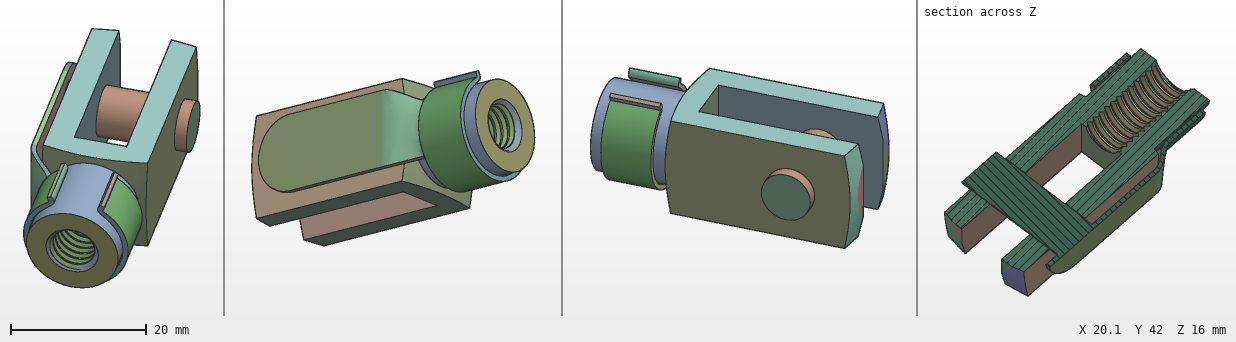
import cadquery as cq
import math

LENGTH = 42.0
BLOCK = 16.0
BLOCK_START = 11.95
SLOT_WIDTH = BLOCK / 2
SLOT_START = 16.0
NECK_RADIUS = 7.0
END_FLAT_RADIUS = 6.0
BEVEL_SLOPE = math.tan(math.radians(15))
TURNING_RADIUS = 12.6

MINOR_RADIUS = 3.25
MOUTH_RADIUS = 4.0
THREAD_DEPTH = 0.5
PITCH = 1.25
GROOVE_HALF_WIDTH = 0.55
GROOVE_OVERLAP = 0.1

PIN_RADIUS = 3.85
PIN_Y = 32.0
PIN_END = 9.85
SHEET = 0.8
PLATE_OUTER_X = -10.25
PLATE_HALF_WIDTH = 5.95
PLATE_START = 15.12
PLATE_ROUND_Y = 32.45
RING_START = 2.0
RING_END = 9.95
RING_RADIUS = BLOCK / 2
RING_INNER_RADIUS = RING_RADIUS - SHEET
STRIP_HALF_WIDTH = 4.4
BEND_STATIONS = 8
BEND_DELAY = 1.3


def turned_envelope():
    """Solid of revolution that bevels both ends of the square fork."""
    bevel_start = BLOCK_START + BEVEL_SLOPE * (TURNING_RADIUS - NECK_RADIUS)
    bevel_end = LENGTH - BEVEL_SLOPE * (TURNING_RADIUS - END_FLAT_RADIUS)
    return (
        cq.Workplane("XY")
        .moveTo(0, BLOCK_START)
        .lineTo(NECK_RADIUS, BLOCK_START)
        .lineTo(TURNING_RADIUS, bevel_start)
        .lineTo(TURNING_RADIUS, bevel_end)
        .lineTo(END_FLAT_RADIUS, LENGTH)
        .lineTo(0, LENGTH)
        .close()
        .revolve(360, (0, 0, 0), (0, 1, 0))
    )


def y_cylinder(radius, start, end):
    return cq.Workplane("XZ", origin=(0, start, 0)).circle(radius).extrude(start - end)


def thread_groove():
    """Helical V groove that runs out past both ends of the bore."""
    start = -PITCH
    height = SLOT_START + 2 * PITCH
    path = cq.Wire.makeHelix(PITCH, height, MINOR_RADIUS)
    inner = MINOR_RADIUS - GROOVE_OVERLAP
    groove = (
        cq.Workplane("XZ")
        .moveTo(inner, -GROOVE_HALF_WIDTH)
        .lineTo(MINOR_RADIUS + THREAD_DEPTH, 0)
        .lineTo(inner, GROOVE_HALF_WIDTH)
        .close()
        .sweep(cq.Workplane(path), isFrenet=True)
    )
    return groove.rotate((0, 0, 0), (1, 0, 0), -90).translate((0, start, 0))


def threaded_bore():
    """Bore and thread groove as one tool, with the bore flush at the neck face and the slot floor."""
    run_out = 2 * PITCH
    bore = y_cylinder(MINOR_RADIUS, -run_out, SLOT_START + run_out)
    extent = y_cylinder(NECK_RADIUS, 0, SLOT_START)
    return bore.union(thread_groove()).intersect(extent)


def mouth_chamfer():
    return (
        cq.Workplane("XY")
        .lineTo(MOUTH_RADIUS, 0)
        .lineTo(0, MOUTH_RADIUS)
        .close()
        .revolve(360, (0, 0, 0), (0, 1, 0))
    )


def make_fork():
    block_length = LENGTH - BLOCK_START
    block = cq.Workplane("XY").box(BLOCK, block_length, BLOCK)
    block = block.translate((0, BLOCK_START + block_length / 2, 0)).intersect(turned_envelope())
    slot_length = LENGTH - SLOT_START
    slot = cq.Workplane("XY").box(SLOT_WIDTH, slot_length, BLOCK)
    slot = slot.translate((0, SLOT_START + slot_length / 2, 0))
    pin_hole = cq.Workplane("YZ").center(PIN_Y, 0).circle(PIN_RADIUS).extrude(BLOCK / 2, both=True)
    fork = block.union(y_cylinder(NECK_RADIUS, 0, BLOCK_START)).cut(slot).cut(pin_hole)
    return fork.cut(threaded_bore()).cut(mouth_chamfer())


def make_plate():
    """Flat tongue with a round end, beside the fork."""
    return (
        cq.Workplane("YZ", origin=(PLATE_OUTER_X, 0, 0))
        .moveTo(PLATE_START, -PLATE_HALF_WIDTH)
        .lineTo(PLATE_ROUND_Y, -PLATE_HALF_WIDTH)
        .threePointArc((PLATE_ROUND_Y + PLATE_HALF_WIDTH, 0), (PLATE_ROUND_Y, PLATE_HALF_WIDTH))
        .lineTo(PLATE_START, PLATE_HALF_WIDTH)
        .close()
        .extrude(SHEET)
    )


def make_pin():
    start = PLATE_OUTER_X + SHEET
    pin_plane = cq.Workplane("YZ", origin=(start, 0, 0)).center(PIN_Y, 0)
    return pin_plane.circle(PIN_RADIUS).extrude(PIN_END - start)


def strip_section(progress):
    """Section of the bent strip, from flat at progress 0 to the ring's curve at 1."""
    delayed = progress ** BEND_DELAY
    ease = delayed ** 2 * (3 - 2 * delayed)
    half_width = PLATE_HALF_WIDTH + ease * (STRIP_HALF_WIDTH - PLATE_HALF_WIDTH)

    def face_points(plate_x, radius):
        points = []
        for share in (-1, -0.5, 0, 0.5, 1):
            ring_x = -math.sqrt(radius ** 2 - (share * STRIP_HALF_WIDTH) ** 2)
            points.append((plate_x + ease * (ring_x - plate_x), share * half_width))
        return points

    outer = face_points(PLATE_OUTER_X, RING_RADIUS)
    inner = face_points(PLATE_OUTER_X + SHEET, RING_INNER_RADIUS)
    y = PLATE_START + progress * (RING_END - PLATE_START)
    section = cq.Workplane("XZ", origin=(0, y, 0)).spline(outer).lineTo(*inner[-1])
    return section.spline(inner[-2::-1], includeCurrent=True).close().val()


def make_strip():
    sections = [strip_section(i / BEND_STATIONS) for i in range(BEND_STATIONS + 1)]
    return cq.Workplane("XY").newObject([cq.Solid.makeLoft(sections)])


def make_ring():
    """Open spring ring, with an outward-turned lip on each side of its gap."""
    lip_inner = (3.4, 6.65)
    lip_bulge = (3.35, 7.23)
    lip_tip_inner = (3.82, 8)
    lip_tip_outer = (4.4, 7.65)
    lip_outer = (4.1, 6.95)
    outer_angle = math.radians(57)
    inner_angle = math.radians(47)

    def mirrored(point):
        return (-point[0], point[1])

    def on_ring(radius, angle, side):
        return (side * radius * math.cos(angle), radius * math.sin(angle))

    return (
        cq.Workplane("XZ", origin=(0, RING_START, 0))
        .moveTo(*on_ring(RING_RADIUS, outer_angle, 1))
        .threePointArc((0, -RING_RADIUS), on_ring(RING_RADIUS, outer_angle, -1))
        .lineTo(*mirrored(lip_outer))
        .lineTo(*mirrored(lip_tip_outer))
        .lineTo(*mirrored(lip_tip_inner))
        .threePointArc(mirrored(lip_bulge), mirrored(lip_inner))
        .lineTo(*on_ring(RING_INNER_RADIUS, inner_angle, -1))
        .threePointArc((0, -RING_INNER_RADIUS), on_ring(RING_INNER_RADIUS, inner_angle, 1))
        .lineTo(*lip_inner)
        .threePointArc(lip_bulge, lip_tip_inner)
        .lineTo(*lip_tip_outer)
        .lineTo(*lip_outer)
        .close()
        .extrude(RING_START - RING_END)
    )


def make_clip():
    return make_plate().union(make_pin()).union(make_strip()).union(make_ring())


fork = make_fork()
clip = make_clip()
result = cq.Compound.makeCompound([fork.solids().val(), clip.solids().val()])